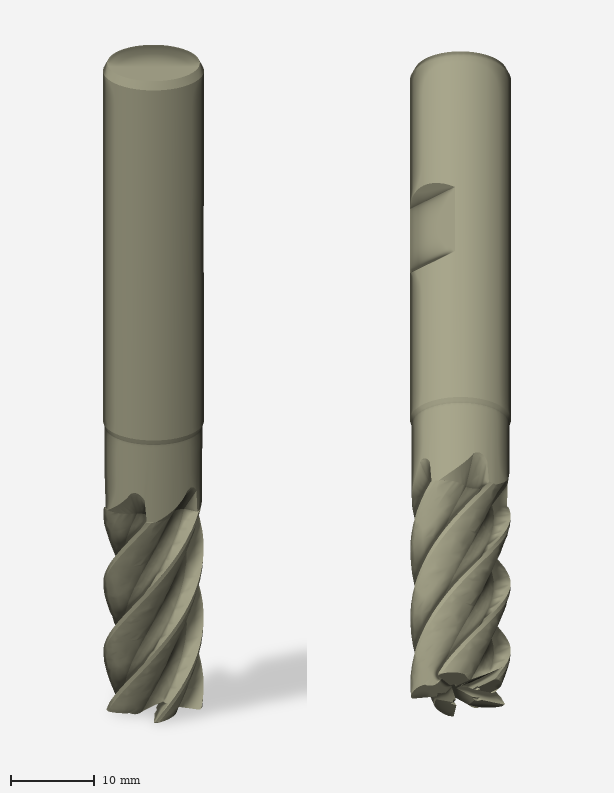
import cadquery as cq
import math

total_length = 83.0
shank_diameter = 12.0
shank_radius = shank_diameter / 2
cutting_length = 26.0

shank_start = 36.7
neck_length = 10.05
neck_radius = 5.8
shank_chamfer_height = 1.0
shank_chamfer_width = 0.5

flat_depth = 1.5
flat_center = 60.4
flat_width_at_floor = 8.55
flat_width_at_rim = 10.8

tooth_count = 5
tooth_pitch = 360 / tooth_count
first_edge_angle = 180.0
helix_angle = 40.0
edge_radius = 6.0
land_drop = 0.04
land_angle = 6.0
relief_radius = 5.15
relief_angle = 25.0
heel_radius = 3.6
heel_angle = 47.0
back_radius = 3.4
back_angle = 60.0
core_radius = 4.0
core_angle = 74.0
corner_chamfer = 0.2

gash_height = 2.3
gash_width = 2.0
gash_setback = 0.2
gash_lean = 1.7
end_relief_width = 2.6
end_relief_angle = 9.0
runout_height = 3.7
runout_spread = 2.5
runout_angle = 60.0

helix_lead = 2 * math.pi * edge_radius / math.tan(math.radians(helix_angle))
cutting_twist = 360 * cutting_length / helix_lead


def polar(radius, angle):
    """Point in the XY plane at a radius and an angle in degrees."""
    return (radius * math.cos(math.radians(angle)), radius * math.sin(math.radians(angle)))


def add_tooth_outline(outline, edge_angle):
    """Land, curved relief, flute and rake face, from one cutting edge to the next."""
    return (
        outline.lineTo(*polar(edge_radius - land_drop, edge_angle + land_angle))
        .threePointArc(
            polar(relief_radius, edge_angle + relief_angle),
            polar(heel_radius, edge_angle + heel_angle),
        )
        .threePointArc(
            polar(back_radius, edge_angle + back_angle),
            polar(core_radius, edge_angle + core_angle),
        )
        .lineTo(*polar(edge_radius, edge_angle + tooth_pitch))
    )


def edge_angles(start):
    """Angles of all cutting edges, beginning with the given one."""
    return [start + index * tooth_pitch for index in range(tooth_count)]


def end_wedge(corners, edge_angle):
    """Triangular prism running from the axis out past one end edge, at that edge's angle.

    In each corner the first value is the distance behind the edge, the second the height.
    """
    wedge = cq.Workplane("YZ").polyline(corners).close().extrude(2 * edge_radius)
    return wedge.rotate((0, 0, 0), (0, 0, 1), edge_angle)


def make_gash(edge_angle):
    """Leaning notch in front of one end edge."""
    corners = [
        (gash_setback, 0),
        (gash_setback + gash_lean, gash_height),
        (-gash_width, 0),
    ]
    return end_wedge(corners, edge_angle)


def make_end_relief(edge_angle):
    """Wedge that lets the end face rise behind one end edge."""
    rise = end_relief_width * math.tan(math.radians(end_relief_angle))
    back = gash_setback + end_relief_width
    corners = [(gash_setback, 0), (back, rise), (back, 0)]
    return end_wedge(corners, edge_angle)


def make_cutter():
    """Right-hand twisted teeth with chamfered corners, end gashes and a relieved end face."""
    outline = cq.Workplane("XY").moveTo(*polar(edge_radius, first_edge_angle))
    for edge_angle in edge_angles(first_edge_angle):
        outline = add_tooth_outline(outline, edge_angle)
    teeth = outline.close().twistExtrude(cutting_length, cutting_twist)
    envelope = cq.Workplane("XY").circle(edge_radius).extrude(cutting_length)
    teeth = teeth.intersect(envelope.faces("<Z").chamfer(corner_chamfer))
    for edge_angle in edge_angles(first_edge_angle):
        teeth = teeth.cut(make_gash(edge_angle)).cut(make_end_relief(edge_angle))
    return teeth


def make_runout(edge_angle):
    """Flute section swept straight up and outward, so that the flute fades out in the neck."""
    outer = 2 * edge_radius
    start = polar(edge_radius, edge_angle)
    section = add_tooth_outline(cq.Workplane("XY").moveTo(*start), edge_angle)
    section = (
        section.lineTo(*polar(outer, edge_angle + tooth_pitch))
        .lineTo(*polar(outer, edge_angle))
        .close()
    )
    wire = section.val().translate(cq.Vector(0, 0, cutting_length))
    out_x, out_y = polar(runout_spread, edge_angle + runout_angle)
    return cq.Solid.extrudeLinear(wire, [], cq.Vector(out_x, out_y, runout_height))


def make_shank():
    """Neck and shank in one revolved body, with the clamping flat and the flute run-outs."""
    shank = (
        cq.Workplane("XZ")
        .moveTo(0, cutting_length)
        .lineTo(neck_radius, cutting_length)
        .lineTo(neck_radius, cutting_length + neck_length)
        .lineTo(shank_radius, shank_start)
        .lineTo(shank_radius, total_length - shank_chamfer_height)
        .lineTo(shank_radius - shank_chamfer_width, total_length)
        .lineTo(0, total_length)
        .close()
        .revolve(360, (0, 0, 0), (0, 1, 0))
    )
    floor_y = shank_radius - flat_depth
    clamping_flat = (
        cq.Workplane("YZ")
        .moveTo(floor_y, flat_center - flat_width_at_floor / 2)
        .lineTo(shank_radius, flat_center - flat_width_at_rim / 2)
        .lineTo(shank_radius, flat_center + flat_width_at_rim / 2)
        .lineTo(floor_y, flat_center + flat_width_at_floor / 2)
        .close()
        .extrude(shank_radius, both=True)
    )
    shank = shank.cut(clamping_flat)
    for edge_angle in edge_angles(first_edge_angle + cutting_twist):
        shank = shank.cut(cq.Workplane(make_runout(edge_angle)))
    return shank


shank = make_shank()
cutter = make_cutter()

result = cq.Compound.makeCompound([shank.val(), cutter.val()])